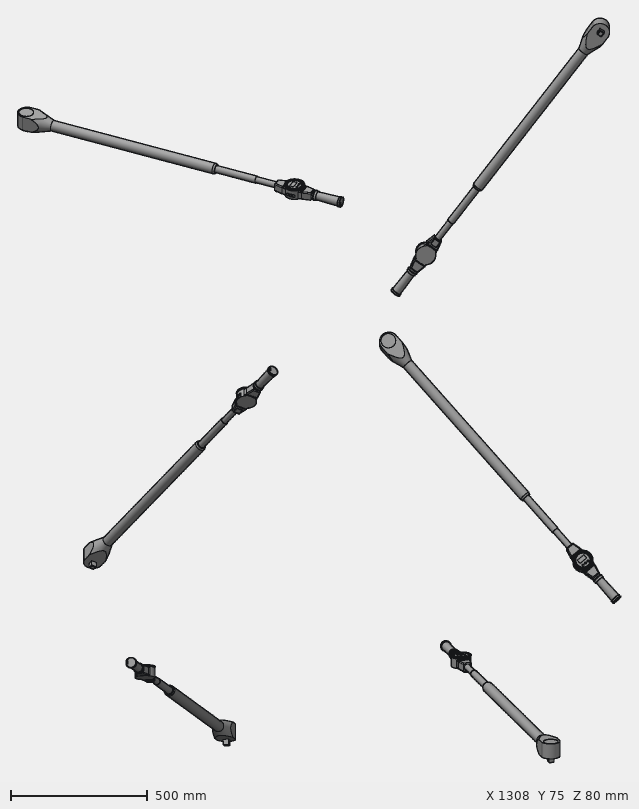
import cadquery as cq

OVERALL_LENGTH = 1308.0

HEAD_WIDTH = 69.0
HEAD_HEIGHT = 58.0
HEAD_ROUND_X = 31.0
HEAD_END_X = 139.0
CONE_START_X = 26.0
CONE_START_RADIUS = 59.0
COVER_DIAMETER = 54.0
COVER_DEPTH = 1.0

DRIVE_SIDE = 20.0
DRIVE_LENGTH = 22.0
DRIVE_CHAMFER = 3.0
BALL_DIAMETER = 8.0
BALL_HEIGHT = 12.0
BALL_PROTRUSION = 3.0

TUBE_DIAMETER = 40.0
TUBE_END_X = 791.0
TUBE_TAPER_LENGTH = 8.0
TUBE_TAPER_DEPTH = 3.0
SLEEVE_DIAMETER = 27.0
SLEEVE_END_X = 962.0
ROD_DIAMETER = 24.0

METER_X = 1116.0
METER_DIAMETER = 75.0
METER_TOP = 24.0
METER_BOTTOM = -18.0
DIAL_THICKNESS = 1.0
DRUM_DIAMETER = 73.0
SKIRT_DIAMETER = 67.0
SKIRT_HEIGHT = 4.0
WING_LENGTH = 75.0
WING_STEP_LENGTH = 39.0
WING_TIP_HALF_WIDTH = 16.0
WING_ROOT_HALF_WIDTH = 34.0
WING_TOP = 16.0
WING_CHAMFER = 4.0
WING_STEP = 1.0
FOOT_X = 1044.0
FOOT_LENGTH = 25.0
FOOT_WIDTH = 24.0
FOOT_BOTTOM = -21.0

FACE_DEPTH = 0.7
RING_GROOVE_DIAMETERS = (68.0, 58.0)
RING_GROOVE_WIDTH = 3.0
SCREEN_X = 1111.0
SCREEN_LENGTH = 16.0
SCREEN_WIDTH = 31.0
KEY_DIAMETER = 6.8
KEY_X = 1130.0
KEY_SPACING = 12.0
SOCKET_DIAMETER = 11.1
SOCKET_SPACING = 12.0
SOCKET_Z = -4.0
SOCKET_DEPTH = 4.0

NECK_DIAMETER = 33.0
COLLAR_X = 1197.0
COLLAR_WIDTH = 3.0
FLANGE_DIAMETER = 39.0
FERRULE_DIAMETER = 37.0
GRIP_START_X = 1209.0
GRIP_START_DIAMETER = 31.0
GRIP_END_DIAMETER = 35.0
END_CAP_X = 1296.0
END_CAP_LENGTH = 9.0
END_RING_WIDTH = 1.0
TAB_WIDTH = 4.0
TAB_HEIGHT = 10.0
TAB_Y = -13.0


def block(x_start, x_end, width, z_bottom, z_top, y_centre=0):
    """Box between two X stations and two Z levels."""
    length = x_end - x_start
    return (
        cq.Workplane("XY", origin=(x_start + length / 2, y_centre, z_bottom))
        .rect(length, width)
        .extrude(z_top - z_bottom)
    )


def disc(x, y, diameter, z_bottom, z_top):
    """Upright cylinder."""
    return cq.Workplane("XY", origin=(x, y, z_bottom)).circle(diameter / 2).extrude(z_top - z_bottom)


def turned(stations):
    """Solid turned about the X axis from (x, radius) stations."""
    points = [(stations[0][0], 0), *stations, (stations[-1][0], 0)]
    return cq.Workplane("XY").polyline(points).close().revolve(360, (0, 0, 0), (1, 0, 0))


def make_head():
    """Rounded flat block whose rear is trimmed by a cone running down to the tube."""
    half = HEAD_HEIGHT / 2
    outline = (
        cq.Workplane("XY", origin=(0, 0, -half))
        .moveTo(HEAD_ROUND_X, -HEAD_WIDTH / 2)
        .threePointArc((0, 0), (HEAD_ROUND_X, HEAD_WIDTH / 2))
        .lineTo(HEAD_END_X, HEAD_WIDTH / 2)
        .lineTo(HEAD_END_X, -HEAD_WIDTH / 2)
        .close()
        .extrude(HEAD_HEIGHT)
    )
    cone = turned(
        [(0, CONE_START_RADIUS), (CONE_START_X, CONE_START_RADIUS), (HEAD_END_X, TUBE_DIAMETER / 2)]
    )
    cover_recess = disc(HEAD_ROUND_X, 0, COVER_DIAMETER, half - COVER_DEPTH, half)
    return outline.intersect(cone).cut(cover_recess)


def make_drive():
    """Square drive with a chamfered tip and a retaining ball on its +Y side."""
    top = -HEAD_HEIGHT / 2
    bottom = top - DRIVE_LENGTH
    square = block(
        HEAD_ROUND_X - DRIVE_SIDE / 2, HEAD_ROUND_X + DRIVE_SIDE / 2, DRIVE_SIDE, bottom, top
    )
    square = square.faces("<Z").chamfer(DRIVE_CHAMFER)
    ball_y = DRIVE_SIDE / 2 + BALL_PROTRUSION - BALL_DIAMETER / 2
    ball = cq.Workplane("XY").sphere(BALL_DIAMETER / 2)
    return square.union(ball.translate((HEAD_ROUND_X, ball_y, bottom + BALL_HEIGHT)))


def make_shaft():
    """Tube, sleeve and rod, each thinner than the one before."""
    tube_radius = TUBE_DIAMETER / 2
    taper_end_x = TUBE_END_X + TUBE_TAPER_LENGTH
    wing_tip_x = METER_X - WING_LENGTH
    return turned(
        [
            (HEAD_END_X, tube_radius),
            (TUBE_END_X, tube_radius),
            (taper_end_x, tube_radius - TUBE_TAPER_DEPTH),
            (taper_end_x, SLEEVE_DIAMETER / 2),
            (SLEEVE_END_X, SLEEVE_DIAMETER / 2),
            (SLEEVE_END_X, ROD_DIAMETER / 2),
            (wing_tip_x, ROD_DIAMETER / 2),
        ]
    )


def wings(length, inset):
    """Lozenge-shaped body tapering from the meter centre to a blunt tip at each end."""
    slope = (WING_ROOT_HALF_WIDTH - WING_TIP_HALF_WIDTH) / WING_LENGTH
    root = WING_ROOT_HALF_WIDTH - inset
    tip = root - slope * length
    points = [(-length, -tip), (0, -root), (length, -tip), (length, tip), (0, root), (-length, tip)]
    return (
        cq.Workplane("XY", origin=(METER_X, 0, METER_BOTTOM))
        .polyline(points)
        .close()
        .extrude(WING_TOP - METER_BOTTOM)
        .faces("|Z")
        .chamfer(WING_CHAMFER)
    )


def make_meter():
    """Winged housing with a round drum, an overhanging dial and a foot under the front wing."""
    step_start = METER_X - WING_STEP_LENGTH
    step_end = METER_X + WING_STEP_LENGTH
    middle = block(step_start, step_end, METER_DIAMETER, METER_BOTTOM, WING_TOP)
    housing = wings(WING_LENGTH, 0).cut(middle).union(wings(WING_STEP_LENGTH, WING_STEP))
    dial_bottom = METER_TOP - DIAL_THICKNESS
    skirt_bottom = dial_bottom - SKIRT_HEIGHT
    drum = disc(METER_X, 0, DRUM_DIAMETER, METER_BOTTOM, skirt_bottom)
    housing = housing.union(drum)
    housing = housing.union(disc(METER_X, 0, SKIRT_DIAMETER, METER_BOTTOM, dial_bottom))
    housing = housing.union(disc(METER_X, 0, METER_DIAMETER, dial_bottom, METER_TOP))
    foot = block(FOOT_X, FOOT_X + FOOT_LENGTH, FOOT_WIDTH, FOOT_BOTTOM, METER_BOTTOM)
    return housing.union(foot)


def cut_dial_details(body):
    """Ring grooves, screen recess and three round keys in the dial."""
    floor = METER_TOP - FACE_DEPTH
    for diameter in RING_GROOVE_DIAMETERS:
        groove = disc(METER_X, 0, diameter, floor, METER_TOP)
        body = body.cut(groove.cut(disc(METER_X, 0, diameter - 2 * RING_GROOVE_WIDTH, floor, METER_TOP)))
    screen_start = SCREEN_X - SCREEN_LENGTH / 2
    body = body.cut(block(screen_start, screen_start + SCREEN_LENGTH, SCREEN_WIDTH, floor, METER_TOP))
    for row in (-1, 0, 1):
        body = body.cut(disc(KEY_X, row * KEY_SPACING, KEY_DIAMETER, floor, METER_TOP))
    return body


def cut_side_sockets(body):
    """Row of three round sockets on the -Y side of the drum."""
    floor_y = SOCKET_DEPTH - DRUM_DIAMETER / 2
    for place in (-1, 0, 1):
        hole = (
            cq.Workplane("XZ", origin=(METER_X + place * SOCKET_SPACING, floor_y, SOCKET_Z))
            .circle(SOCKET_DIAMETER / 2)
            .extrude(2 * SOCKET_DEPTH)
        )
        body = body.cut(hole)
    return body


def make_grip():
    """Neck, flanged collar, ferrule, slightly flared grip and a grooved end cap with a small tab."""
    neck = NECK_DIAMETER / 2
    ferrule = FERRULE_DIAMETER / 2
    flange = FLANGE_DIAMETER / 2
    collar_end = COLLAR_X + COLLAR_WIDTH
    cap_end = END_CAP_X + END_CAP_LENGTH
    grip_end_radius = GRIP_END_DIAMETER / 2
    grip = turned(
        [
            (METER_X + WING_LENGTH, neck),
            (COLLAR_X, neck),
            (COLLAR_X, flange),
            (collar_end, flange),
            (collar_end, ferrule),
            (GRIP_START_X, ferrule),
            (GRIP_START_X, GRIP_START_DIAMETER / 2),
            (END_CAP_X, grip_end_radius),
            (END_CAP_X, flange),
            (END_CAP_X + END_RING_WIDTH, flange),
            (END_CAP_X + END_RING_WIDTH, grip_end_radius),
            (cap_end - END_RING_WIDTH, grip_end_radius),
            (cap_end - END_RING_WIDTH, flange),
            (cap_end, flange),
        ]
    )
    tab = block(cap_end, OVERALL_LENGTH, TAB_WIDTH, -TAB_HEIGHT / 2, TAB_HEIGHT / 2, TAB_Y)
    return grip.union(tab)


result = make_head().union(make_drive()).union(make_shaft()).union(make_meter()).union(make_grip())
result = cut_side_sockets(cut_dial_details(result))